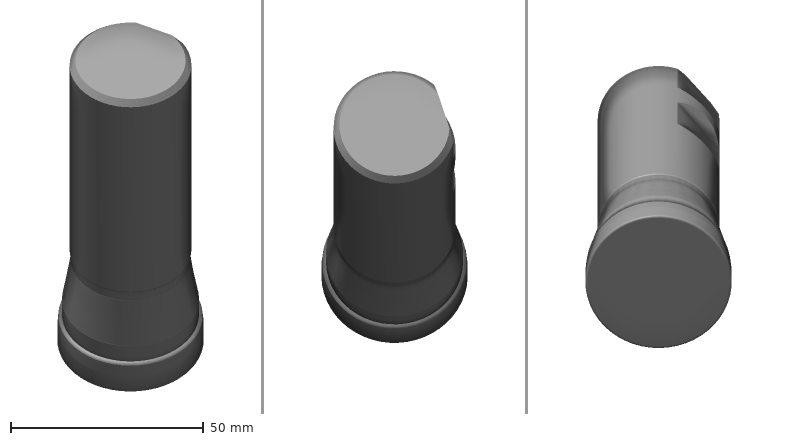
import cadquery as cq

TOTAL_HEIGHT = 101.6
HEAD_RADIUS = 38.1 / 2
COLLAR_RADIUS = 35.7 / 2
NECK_RADIUS = 31.2 / 2
SHANK_RADIUS = 31.7 / 2

HEAD_FOOT_ROUND = 0.6
HEAD_STRAIGHT_TOP = 5.6
HEAD_RIM_HEIGHT = 9.4
HEAD_RIM_RADIUS = 18.8
HEAD_SHOULDER_HEIGHT = 10.1
HEAD_SHOULDER_ROUND = 1.2
JOINT_HEIGHT = 12.0

COLLAR_TOP = 15.4
NECK_BOTTOM = 30.1
NECK_TOP = 32.9
FLARE_STEP = 0.05
FLARE_STEP_HEIGHT = 0.2
SHANK_BOTTOM = 33.3
SHANK_CHAMFER = 1.5

FLAT_OFFSET = 13.4
LOWER_FLAT_BOTTOM = 65.9
LOWER_FLAT_TOP = 79.1
UPPER_FLAT_BOTTOM = 88.6


def make_head():
    """Barrel-shaped head whose collar ends at the joint plane."""
    taper_mid_radius = HEAD_RADIUS - (HEAD_RADIUS - HEAD_RIM_RADIUS) / 4
    taper_mid_height = (HEAD_STRAIGHT_TOP + HEAD_RIM_HEIGHT) / 2
    profile = (
        cq.Workplane("XZ")
        .lineTo(HEAD_RADIUS, 0)
        .lineTo(HEAD_RADIUS, HEAD_STRAIGHT_TOP)
        .threePointArc((taper_mid_radius, taper_mid_height), (HEAD_RIM_RADIUS, HEAD_RIM_HEIGHT))
        .radiusArc((COLLAR_RADIUS, HEAD_SHOULDER_HEIGHT), -HEAD_SHOULDER_ROUND)
        .lineTo(COLLAR_RADIUS, JOINT_HEIGHT)
        .lineTo(0, JOINT_HEIGHT)
        .close()
    )
    return profile.revolve(360, (0, 0), (0, 1)).faces("<Z").edges().fillet(HEAD_FOOT_ROUND)


def make_turned_holder():
    """Round holder: collar, flare, neck and chamfered shank."""
    profile = (
        cq.Workplane("XZ")
        .moveTo(0, JOINT_HEIGHT)
        .lineTo(COLLAR_RADIUS, JOINT_HEIGHT)
        .lineTo(COLLAR_RADIUS, COLLAR_TOP)
        .lineTo(COLLAR_RADIUS - FLARE_STEP, COLLAR_TOP + FLARE_STEP_HEIGHT)
        .lineTo(NECK_RADIUS + FLARE_STEP, NECK_BOTTOM - FLARE_STEP_HEIGHT)
        .lineTo(NECK_RADIUS, NECK_BOTTOM)
        .lineTo(NECK_RADIUS, NECK_TOP)
        .lineTo(SHANK_RADIUS, SHANK_BOTTOM)
        .lineTo(SHANK_RADIUS, TOTAL_HEIGHT - SHANK_CHAMFER)
        .lineTo(SHANK_RADIUS - SHANK_CHAMFER, TOTAL_HEIGHT)
        .lineTo(0, TOTAL_HEIGHT)
        .close()
    )
    return profile.revolve(360, (0, 0), (0, 1))


def make_flat_cutter(bottom, top, bottom_flare, top_flare):
    """Prism along X above the flat; its ends widen by the given flares up to the shank surface."""
    return (
        cq.Workplane("YZ")
        .moveTo(FLAT_OFFSET, bottom)
        .lineTo(SHANK_RADIUS, bottom - bottom_flare)
        .lineTo(SHANK_RADIUS, top + top_flare)
        .lineTo(FLAT_OFFSET, top)
        .close()
        .extrude(SHANK_RADIUS, both=True)
    )


def make_holder():
    """Turned holder with two flats whose inner ends rise at 45 degrees."""
    flat_depth = SHANK_RADIUS - FLAT_OFFSET
    lower_flat = make_flat_cutter(LOWER_FLAT_BOTTOM, LOWER_FLAT_TOP, flat_depth, flat_depth)
    upper_flat = make_flat_cutter(UPPER_FLAT_BOTTOM, TOTAL_HEIGHT, flat_depth, 0)
    return make_turned_holder().cut(lower_flat).cut(upper_flat)


head = make_head()
holder = make_holder()
result = cq.Compound.makeCompound([head.val(), holder.val()])